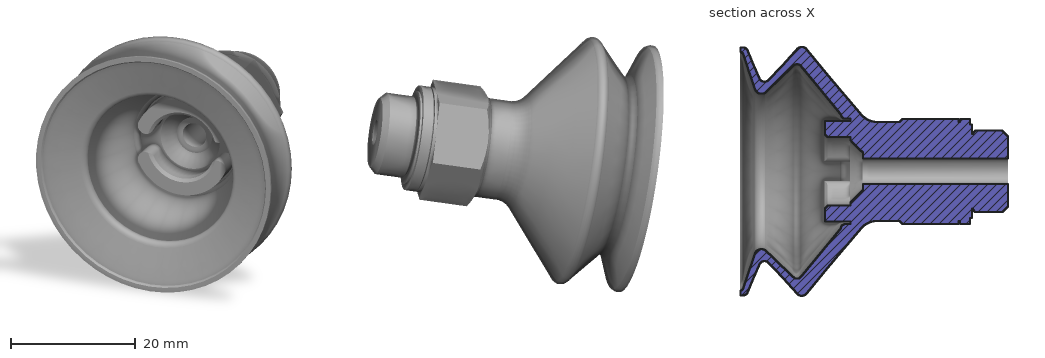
import cadquery as cq
import math


length = 43.0
hex_front = 25.95
hex_back = 34.57
washer_front = 35.25
washer_back = 37.2
thread_front = 37.65
thread_chamfer = 1.0

thread_radius = 13.2 / 2
thread_relief_radius = 5.95
washer_radius = 17.0 / 2
washer_groove_radius = 8.0
washer_groove_back = 35.05
washer_edge = 0.3
washer_edge_inset = 0.95
hex_width = 17.0
hex_chamfer_radius = 8.35
hex_chamfer_angle = 30.0
neck_radius = 16.0 / 2
neck_flare_front = 25.55

neck_fillet_start = 22.45
shoulder = (9.2, 19.4)
fold_upper = (19.52, 10.75)
fold_tip = (20.05, 9.9)
fold_lower = (19.52, 9.0)
waist_upper = (14.65, 4.47)
waist_bottom = (14.45, 3.85)
waist_lower = (14.8, 3.2)
lip_radius = 40.0 / 2
lip_shoulder = (19.65, 1.1)
lip_rounding_middle = (19.9, 0.75)
lip_side_height = 0.35

lip_mouth_radius = 38.4 / 2
lip_bevel_width = 0.25
lip_bevel_depth = 0.4
throat_lower = (13.2, 2.32)
throat_bottom = (12.45, 3.2)
throat_upper = (12.65, 4.05)
chamber_lower = (16.95, 8.5)
chamber_widest = (17.2, 9.1)
chamber_upper = (16.85, 9.75)
seat_rim = (9.1, 16.12)
seat_rim_middle = (8.65, 16.35)
seat_radius = 8.43
seat_rim_end = 16.85
seat_floor = 17.65

funnel_radius = 5.05
funnel_end_radius = 6.0 / 2
funnel_depth = funnel_radius - funnel_end_radius
bore_radius = 4.0 / 2

tab_front = 13.55
tab_outer_radius = 8.13
tab_inner_radius = 5.45
tab_chamfer = 0.47
tab_gap = 3.1


def turned(profile):
    """Revolve a closed (radius, Y) profile about the Y axis."""
    return profile.close().revolve(360, (0, 0, 0), (0, 1, 0))


def bellows():
    return turned(
        cq.Workplane("XY")
        .moveTo(0, 0)
        .lineTo(lip_radius, 0)
        .lineTo(lip_radius, lip_side_height)
        .threePointArc(lip_rounding_middle, lip_shoulder)
        .lineTo(*waist_lower)
        .threePointArc(waist_bottom, waist_upper)
        .lineTo(*fold_lower)
        .threePointArc(fold_tip, fold_upper)
        .lineTo(*shoulder)
        .tangentArcPoint((neck_radius, neck_fillet_start), relative=False)
        .lineTo(neck_radius, neck_flare_front)
        .lineTo(hex_chamfer_radius, hex_front)
        .lineTo(0, hex_front)
    )


def threaded_end():
    return turned(
        cq.Workplane("XY")
        .moveTo(0, hex_back)
        .lineTo(washer_radius, hex_back)
        .lineTo(washer_radius, washer_groove_back)
        .lineTo(washer_groove_radius, washer_groove_back)
        .lineTo(washer_groove_radius, washer_front)
        .lineTo(washer_radius, washer_front)
        .lineTo(washer_radius, washer_back - washer_edge)
        .lineTo(washer_radius - washer_edge_inset, washer_back - washer_edge)
        .lineTo(washer_radius - washer_edge_inset, washer_back)
        .lineTo(thread_relief_radius, washer_back)
        .lineTo(thread_radius, thread_front)
        .lineTo(thread_radius, length - thread_chamfer)
        .lineTo(thread_radius - thread_chamfer, length)
        .lineTo(0, length)
    )


def hexagon():
    """Hexagon with corners on X, its front corners turned to a cone."""
    across_corners = hex_width / math.cos(math.pi / 6)
    prism = (
        cq.Workplane("XZ", origin=(0, hex_back, 0))
        .polygon(6, across_corners)
        .extrude(hex_back - hex_front)
    )
    cone_radius = across_corners
    cone_length = (cone_radius - hex_chamfer_radius) * math.tan(math.radians(hex_chamfer_angle))
    envelope = turned(
        cq.Workplane("XY")
        .moveTo(0, hex_front)
        .lineTo(hex_chamfer_radius, hex_front)
        .lineTo(cone_radius, hex_front + cone_length)
        .lineTo(cone_radius, hex_back)
        .lineTo(0, hex_back)
    )
    return prism.intersect(envelope)


def cavity():
    """Inside of the bellows, the funnel and the through bore."""
    return turned(
        cq.Workplane("XY")
        .moveTo(0, 0)
        .lineTo(lip_mouth_radius, 0)
        .lineTo(lip_mouth_radius - lip_bevel_width, lip_bevel_depth)
        .lineTo(*throat_lower)
        .threePointArc(throat_bottom, throat_upper)
        .lineTo(*chamber_lower)
        .threePointArc(chamber_widest, chamber_upper)
        .lineTo(*seat_rim)
        .threePointArc(seat_rim_middle, (seat_radius, seat_rim_end))
        .lineTo(seat_radius, seat_floor)
        .lineTo(funnel_radius, seat_floor)
        .lineTo(funnel_end_radius, seat_floor + funnel_depth)
        .lineTo(bore_radius, seat_floor + funnel_depth)
        .lineTo(bore_radius, length)
        .lineTo(0, length)
    )


def tabs():
    """Two facing ring segments with fully rounded ends and a bevelled inner front edge."""
    ring = turned(
        cq.Workplane("XY")
        .moveTo(tab_inner_radius, seat_floor)
        .lineTo(tab_inner_radius, tab_front + tab_chamfer)
        .lineTo(tab_inner_radius + tab_chamfer, tab_front)
        .lineTo(tab_outer_radius, tab_front)
        .lineTo(tab_outer_radius, seat_floor)
    )
    end_radius = (tab_outer_radius - tab_inner_radius) / 2
    end_centre_radius = (tab_outer_radius + tab_inner_radius) / 2
    end_z = tab_gap / 2 + end_radius
    end_x = math.sqrt(end_centre_radius**2 - end_z**2)
    outer_scale = tab_outer_radius / end_centre_radius
    inner_scale = tab_inner_radius / end_centre_radius
    tip_x = end_x + end_radius * end_z / end_centre_radius
    tip_z = end_z - end_radius * end_x / end_centre_radius
    outline = (
        cq.Workplane("XZ", origin=(0, seat_floor, 0))
        .moveTo(end_x * outer_scale, end_z * outer_scale)
        .threePointArc((0, tab_outer_radius), (-end_x * outer_scale, end_z * outer_scale))
        .threePointArc((-tip_x, tip_z), (-end_x * inner_scale, end_z * inner_scale))
        .threePointArc((0, tab_inner_radius), (end_x * inner_scale, end_z * inner_scale))
        .threePointArc((tip_x, tip_z), (end_x * outer_scale, end_z * outer_scale))
        .close()
        .extrude(seat_floor - tab_front)
    )
    upper = ring.intersect(outline)
    return upper.union(upper.mirror("XY"))


result = bellows().union(hexagon()).union(threaded_end()).cut(cavity()).union(tabs())